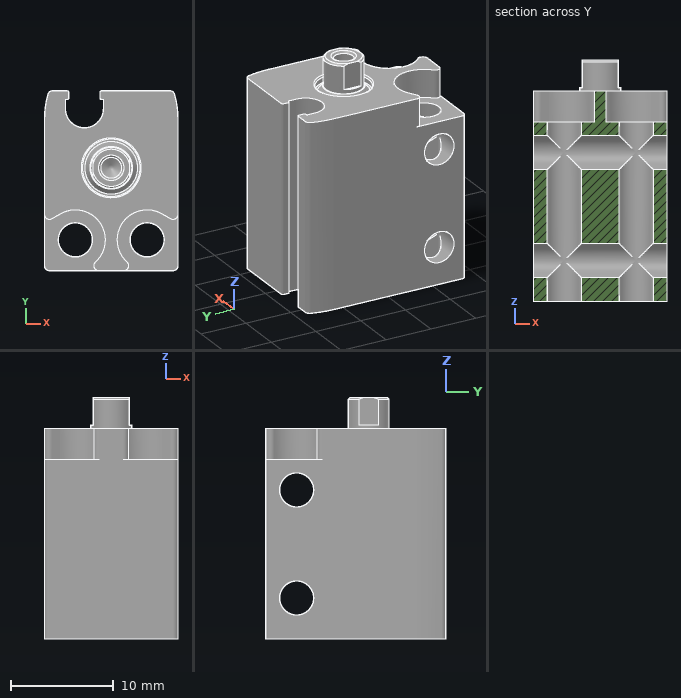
import cadquery as cq
import math

total_height = 23.5
width = 13.0
depth = 17.5
body_height = 20.5
half_width = width / 2
corner_radius = 0.5

rear_curve_radius = 8.5
rear_curve_length = 2.7

mount_diameter = 3.3
mount_inset = 3.0
cross_hole_heights = (4.0, 14.5)

seat_depth = 3.0
seat_radius = 2.91
seat_wall_angle = 60.0

slot_x = -2.6
slot_radius = 1.83
slot_center_depth = 1.76
slot_mouth_width = 3.0
slot_lip_depth = 0.87
slot_lip_radius = 0.19

rod_y = 10.0
rod_diameter = 4.0
rod_insertion = 5.0
rod_chamfer = 0.19
flat_distance = 3.5
flat_start = 0.3
thread_diameter = 2.02
thread_mouth_diameter = 2.47
thread_depth = 3.0
drill_tip_angle = 118.0
recess_diameter = 5.6
recess_mouth_diameter = 5.83
recess_chamfer_depth = 0.19
recess_depth = 0.75
lip_base_diameter = 5.12
lip_top_diameter = 4.14
lip_drop = 0.15


def rear_curve_point(length):
    """Point on the right-hand rear curve, a given Y distance behind its start."""
    inset = rear_curve_radius - math.sqrt(rear_curve_radius**2 - length**2)
    return half_width - inset, depth - rear_curve_length + length


def make_block():
    end_x, end_y = rear_curve_point(rear_curve_length)
    mid_x, mid_y = rear_curve_point(rear_curve_length / 2)
    curve_start_y = depth - rear_curve_length
    block = (
        cq.Workplane("XY")
        .moveTo(-half_width, 0)
        .lineTo(half_width, 0)
        .lineTo(half_width, curve_start_y)
        .threePointArc((mid_x, mid_y), (end_x, end_y))
        .lineTo(-end_x, end_y)
        .threePointArc((-mid_x, mid_y), (-half_width, curve_start_y))
        .close()
        .extrude(body_height)
    )
    return block.edges("|Z and (<Y or >Y)").fillet(corner_radius)


def make_seat():
    """Right-hand seat cutter: an arc about the hole, running out to the side and front faces."""
    hole_x = half_width - mount_inset
    hole_y = mount_inset
    reach = seat_radius + corner_radius

    front_y = corner_radius
    front_x = hole_x - math.sqrt(reach**2 - (hole_y - front_y) ** 2)
    front_share = seat_radius / reach
    front_tangent = (hole_x + (front_x - hole_x) * front_share, hole_y + (front_y - hole_y) * front_share)
    toward_seat = math.atan2(hole_y - front_y, hole_x - front_x)

    wall_angle = math.radians(seat_wall_angle)
    normal = (math.cos(wall_angle), math.sin(wall_angle))
    side_x = half_width - corner_radius
    side_y = hole_y + (reach - (side_x - hole_x) * normal[0]) / normal[1]
    wall_start = (hole_x + seat_radius * normal[0], hole_y + seat_radius * normal[1])
    wall_end = (side_x - corner_radius * normal[0], side_y - corner_radius * normal[1])

    def around(center_x, center_y, radius, angle):
        return center_x + radius * math.cos(angle), center_y + radius * math.sin(angle)

    front_mid = around(front_x, front_y, corner_radius, (toward_seat - math.pi / 2) / 2)
    seat_mid = around(hole_x, hole_y, seat_radius, math.pi)
    side_mid = around(side_x, side_y, corner_radius, (wall_angle - math.pi) / 2)
    return (
        cq.Workplane("XY", origin=(0, 0, body_height - seat_depth))
        .moveTo(half_width, 0)
        .lineTo(front_x, 0)
        .threePointArc(front_mid, front_tangent)
        .threePointArc(seat_mid, wall_start)
        .lineTo(*wall_end)
        .threePointArc(side_mid, (half_width, side_y))
        .close()
        .extrude(seat_depth)
    )


def make_mount_holes():
    hole_x = half_width - mount_inset
    holes = (
        cq.Workplane("XY")
        .pushPoints([(-hole_x, mount_inset), (hole_x, mount_inset)])
        .circle(mount_diameter / 2)
        .extrude(body_height)
    )
    cross_holes = (
        cq.Workplane("YZ", origin=(-half_width, 0, 0))
        .pushPoints([(mount_inset, height) for height in cross_hole_heights])
        .circle(mount_diameter / 2)
        .extrude(width)
    )
    return holes.union(cross_holes)


def cut_slot(block):
    center_y = depth - slot_center_depth
    lip_y = depth - slot_lip_depth
    half_mouth = slot_mouth_width / 2
    slot = (
        cq.Workplane("XY")
        .moveTo(slot_x - half_mouth, depth)
        .lineTo(slot_x - half_mouth, lip_y)
        .lineTo(slot_x - slot_radius, lip_y)
        .lineTo(slot_x - slot_radius, center_y)
        .threePointArc((slot_x, center_y - slot_radius), (slot_x + slot_radius, center_y))
        .lineTo(slot_x + slot_radius, lip_y)
        .lineTo(slot_x + half_mouth, lip_y)
        .lineTo(slot_x + half_mouth, depth)
        .close()
        .extrude(body_height)
    )
    lip_zone = cq.selectors.BoxSelector(
        (slot_x - half_mouth - slot_lip_radius, lip_y - slot_lip_radius, 0),
        (slot_x + half_mouth + slot_lip_radius, depth + slot_lip_radius, body_height),
    )
    return block.cut(slot).edges("|Z").edges(lip_zone).fillet(slot_lip_radius)


def make_rod_cavity():
    """Blind rod bore plus the chamfered recess that surrounds the conical wiper lip."""
    profile = (
        cq.Workplane("XZ", origin=(0, rod_y, body_height))
        .moveTo(0, 0)
        .lineTo(recess_mouth_diameter / 2, 0)
        .lineTo(recess_diameter / 2, -recess_chamfer_depth)
        .lineTo(recess_diameter / 2, -recess_depth)
        .lineTo(lip_base_diameter / 2, -recess_depth)
        .lineTo(lip_top_diameter / 2, -lip_drop)
        .lineTo(rod_diameter / 2, -lip_drop)
        .lineTo(rod_diameter / 2, -rod_insertion)
        .lineTo(0, -rod_insertion)
        .close()
    )
    return profile.revolve(360, (0, 0, 0), (0, 1, 0))


def make_housing():
    block = cut_slot(make_block())
    seat = make_seat()
    block = block.cut(seat).cut(seat.mirror("YZ"))
    return block.cut(make_mount_holes()).cut(make_rod_cavity())


def make_thread_hole():
    """Countersunk blind hole with a drill-point bottom."""
    radius = thread_diameter / 2
    mouth_radius = thread_mouth_diameter / 2
    tip_length = radius / math.tan(math.radians(drill_tip_angle / 2))
    profile = (
        cq.Workplane("XZ", origin=(0, rod_y, total_height))
        .moveTo(0, 0)
        .lineTo(mouth_radius, 0)
        .lineTo(radius, radius - mouth_radius)
        .lineTo(radius, -thread_depth)
        .lineTo(0, -thread_depth - tip_length)
        .close()
    )
    return profile.revolve(360, (0, 0, 0), (0, 1, 0))


def make_rod():
    rod_bottom = body_height - rod_insertion
    rod = (
        cq.Workplane("XY", origin=(0, rod_y, rod_bottom))
        .circle(rod_diameter / 2)
        .extrude(total_height - rod_bottom)
        .faces(">Z")
        .edges()
        .chamfer(rod_chamfer)
    )
    flat_bottom = body_height + flat_start
    for side in (-1, 1):
        flat_cut = cq.Workplane("XY").box(
            rod_diameter, rod_diameter, total_height - flat_bottom, centered=(True, True, False)
        )
        rod = rod.cut(flat_cut.translate((side * (flat_distance + rod_diameter) / 2, rod_y, flat_bottom)))
    return rod.cut(make_thread_hole())


housing = make_housing()
rod = make_rod()
result = cq.Compound.makeCompound([housing.solids().val(), rod.solids().val()])